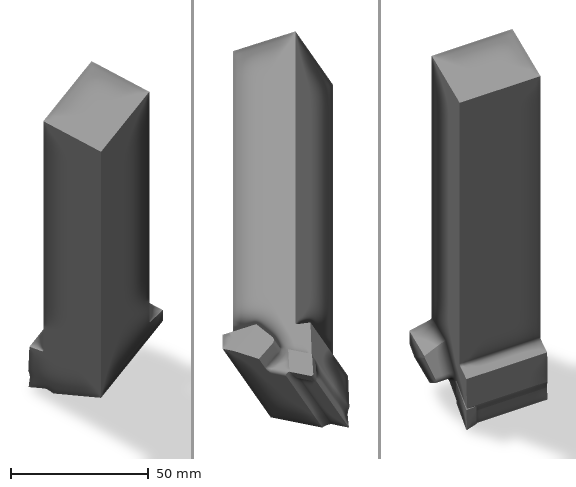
import cadquery as cq
import math

total_height = 171.4
shank_width = 25.0
shank_depth = 32.0
shoulder = (0.0, 28.1)
shoulder_radius = 1.0

head_corner = (-6.0, 26.7)
side_relief_start = (-6.5, 11.3)
side_relief_middle = (-6.0, 9.6)
side_relief_end = (-5.8, 7.5)
head_tip = (-6.3, 1.4)
end_relief_end = (0.7, 5.8)
end_relief_middle = (2.5, 6.0)
end_relief_start = (4.3, 5.5)
end_corner_height = 18.5

insert_tip = (-7.4, -0.5)
insert_side = 11.3
insert_point_angle = 55.0
insert_edge_angle = 32.0
insert_thickness = 4.1
insert_rise = 0.3
insert_clearance = 7.0
insert_nose_radius = 0.7

lump_height = 8.9
lump_apex = (4.6, 16.8)
lump_upper_angle = 51.0
lump_lower_angle = 45.0
lump_top_height = 27.8
lump_top_tilt = 15.0
lump_apex_radius = 2.2
lump_base_radius = 1.4
bevel_drop = 2.0
bevel_width = 10.3

pick_margin = 0.2


def back_plane(y):
    """Plane parallel to XZ at the given y, local axes +X and +Z."""
    return cq.Workplane("XZ", origin=(0, y, 0))


def polar(start, length, angle):
    """Point at a length and an angle in degrees from a start point."""
    turn = math.radians(angle)
    return (start[0] + length * math.cos(turn), start[1] + length * math.sin(turn))


def polar_direction(angle):
    """Unit vector in the XZ plane, angle in degrees from +X toward +Z."""
    x, z = polar((0, 0), 1, angle)
    return (x, 0, z)


def make_holder_blank():
    outline = (
        back_plane(shank_depth)
        .moveTo(0, total_height)
        .lineTo(*shoulder)
        .lineTo(*head_corner)
        .lineTo(*side_relief_start)
        .threePointArc(side_relief_middle, side_relief_end)
        .lineTo(*head_tip)
        .lineTo(*end_relief_end)
        .threePointArc(end_relief_middle, end_relief_start)
        .lineTo(shank_width, end_corner_height)
        .lineTo(shank_width, total_height)
        .close()
    )
    blank = outline.extrude(shank_depth)
    shoulder_edge = cq.selectors.NearestToPointSelector((shoulder[0], shank_depth / 2, shoulder[1]))
    return blank.edges(shoulder_edge).fillet(shoulder_radius)


def make_lump():
    end_slope = (end_corner_height - end_relief_start[1]) / (shank_width - end_relief_start[0])
    upper_slope = math.tan(math.radians(lump_upper_angle))
    lower_slope = math.tan(math.radians(lump_lower_angle))

    end_at_apex = end_relief_start[1] + end_slope * (lump_apex[0] - end_relief_start[0])
    foot_x = lump_apex[0] + (lump_apex[1] - end_at_apex) / (lower_slope + end_slope)
    foot = (foot_x, lump_apex[1] - lower_slope * (foot_x - lump_apex[0]))
    shoulder_x = lump_apex[0] + (lump_top_height - lump_apex[1]) / upper_slope

    lump = (
        back_plane(shank_depth)
        .polyline([
            lump_apex,
            foot,
            (shank_width, end_corner_height),
            (shank_width, lump_top_height),
            (shoulder_x, lump_top_height),
        ])
        .close()
        .extrude(-lump_height)
    )

    top_fall = lump_height * math.tan(math.radians(lump_top_tilt))
    top_wedge = (
        cq.Workplane("YZ")
        .polyline([
            (shank_depth, lump_top_height),
            (shank_depth + lump_height, lump_top_height - top_fall),
            (shank_depth + lump_height, lump_top_height),
        ])
        .close()
        .extrude(shank_width)
    )
    apex_edge = cq.selectors.NearestToPointSelector(
        (lump_apex[0], shank_depth + lump_height / 2, lump_apex[1])
    )
    lump = lump.edges(apex_edge).fillet(lump_apex_radius).cut(top_wedge)

    bevel_plane = cq.Plane(
        origin=(lump_apex[0], shank_depth + lump_height, lump_apex[1]),
        xDir=polar_direction(90 - lump_lower_angle),
        normal=polar_direction(-lump_lower_angle),
    )
    bevel = (
        cq.Workplane(bevel_plane)
        .polyline([(0, 0), (bevel_width, 0), (0, bevel_drop)])
        .close()
        .extrude(shank_width, both=True)
    )
    return lump.cut(bevel)


def make_insert():
    side_angle = insert_edge_angle + insert_point_angle
    end_corner = polar(insert_tip, insert_side, insert_edge_angle)
    side_corner = polar(insert_tip, insert_side, side_angle)
    far_corner = polar(end_corner, insert_side, side_angle)
    top = shank_depth + insert_rise
    insert = (
        back_plane(top)
        .polyline([insert_tip, end_corner, far_corner, side_corner])
        .close()
        .extrude(insert_thickness, taper=insert_clearance)
    )
    nose = cq.selectors.NearestToPointSelector((insert_tip[0], top - insert_thickness / 2, insert_tip[1]))
    return insert.edges(nose).fillet(insert_nose_radius)


def make_holder(insert):
    """Shank, head and lump as one body, blended together, with a seat for the insert."""
    holder = make_holder_blank().union(make_lump())
    base_edges = (
        holder.faces(cq.selectors.NearestToPointSelector((shank_width / 2, shank_depth, total_height / 2)))
        .edges(cq.selectors.BoxSelector(
            (lump_apex[0], shank_depth - pick_margin, 0),
            (shank_width - pick_margin, shank_depth + pick_margin, lump_top_height + pick_margin),
        ))
    )
    holder = base_edges.fillet(lump_base_radius)
    return holder.cut(insert)


insert = make_insert()
holder = make_holder(insert)
result = cq.Compound.makeCompound([holder.val(), insert.val()])